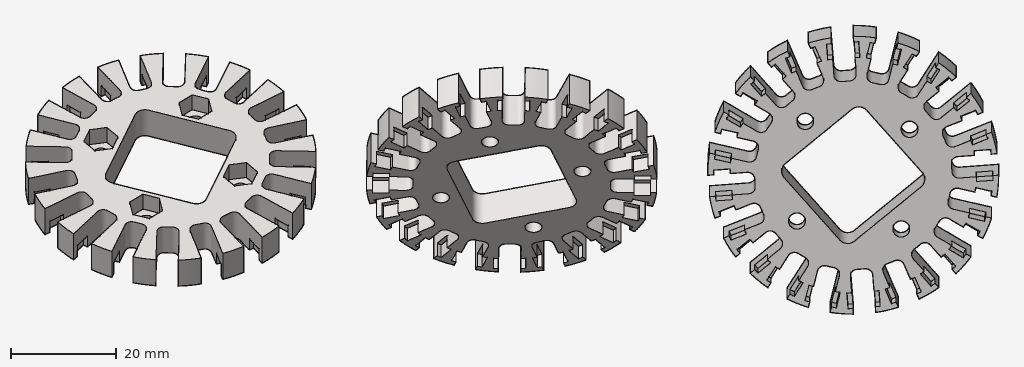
import cadquery as cq
import math

outer_diameter = 55.0
thickness = 7.0

slot_count = 20
slot_width = 4.2
slot_floor_radius = 18.65
slot_corner_radius = 1.3

notch_outer_radius = 26.25
notch_inner_radius = 23.15
notch_height = 2.95
notch_depth = 0.95

window_length_x = 20.1
window_length_y = 20.5
window_corner_radius = 2.0

screw_count = 4
screw_circle_radius = 14.0
screw_hole_diameter = 3.2
nut_across_flats = 5.7
nut_pocket_depth = 4.0


def make_disc():
    return cq.Workplane("XY").circle(outer_diameter / 2).extrude(thickness)


def make_slot():
    """One slot along +X, open past the rim, with rounded inner corners and notched walls."""
    slot_length = outer_diameter / 2
    channel = (
        cq.Workplane("XY")
        .center(slot_floor_radius + slot_length / 2, 0)
        .rect(slot_length, slot_width)
        .extrude(thickness)
        .edges("|Z and <X")
        .fillet(slot_corner_radius)
    )
    notches = (
        cq.Workplane("XY")
        .center((notch_inner_radius + notch_outer_radius) / 2, 0)
        .rect(notch_outer_radius - notch_inner_radius, slot_width + 2 * notch_depth)
        .extrude(notch_height)
    )
    return channel.union(notches)


def make_window():
    return (
        cq.Workplane("XY")
        .rect(window_length_x, window_length_y)
        .extrude(thickness)
        .edges("|Z")
        .fillet(window_corner_radius)
    )


def make_screw_seat():
    """A through hole on the +X axis, with a nut pocket whose flats face along X."""
    hole = (
        cq.Workplane("XY")
        .center(screw_circle_radius, 0)
        .circle(screw_hole_diameter / 2)
        .extrude(thickness)
    )
    across_corners = nut_across_flats / math.cos(math.pi / 6)
    pocket = (
        cq.Workplane("XY", origin=(screw_circle_radius, 0, thickness - nut_pocket_depth))
        .transformed(rotate=(0, 0, 90))
        .polygon(6, across_corners)
        .extrude(nut_pocket_depth)
    )
    return hole.union(pocket)


def cut_around(body, cutter, count):
    """Cut copies of the cutter spaced evenly about the Z axis."""
    for index in range(count):
        body = body.cut(cutter.rotate((0, 0, 0), (0, 0, 1), index * 360 / count))
    return body


result = make_disc().cut(make_window())
result = cut_around(result, make_slot(), slot_count)
result = cut_around(result, make_screw_seat(), screw_count)